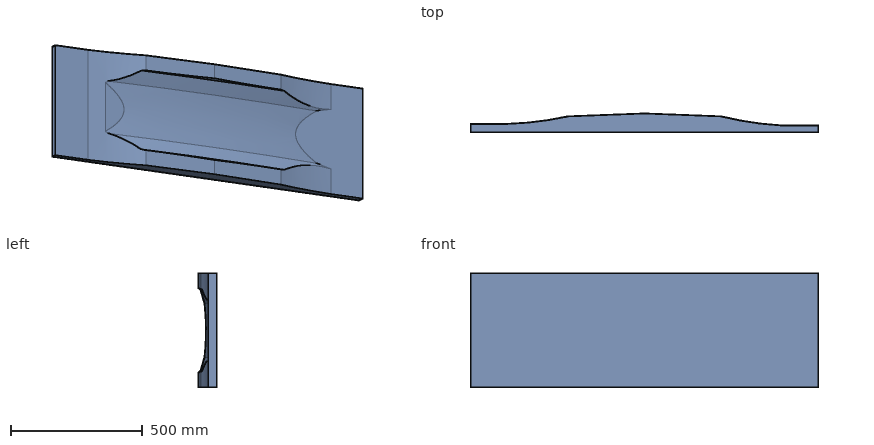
import cadquery as cq
import math

length = 1318.28
depth = 72.05
height = 433.14

left_end_thickness = 32.5
right_end_thickness = 26.5
crown_edge_depth = 61.0
crown_half_width = 290.0
flank_length = 230.0
flank_sag = 5.5

hollow_half_height = 161.0
lip_half_height = 155.0
lip_drop = 8.0
slope_half_height = 103.0
slope_drop = 24.0
centre_drop = 29.5
hollow_plan_radius = 6800.0
cutter_clearance = 10.0
end_overrun_angle = 1.0

half_length = length / 2


def flank_midpoint(start, end):
    """Midpoint of a concave flank, bowed toward the front face."""
    return ((start[0] + end[0]) / 2, (start[1] + end[1]) / 2 - flank_sag)


def make_panel():
    """Full-height panel with the ridged back profile."""
    left_foot = (-crown_half_width - flank_length, left_end_thickness)
    left_crown = (-crown_half_width, crown_edge_depth)
    right_crown = (crown_half_width, crown_edge_depth)
    right_foot = (crown_half_width + flank_length, right_end_thickness)
    return (
        cq.Workplane("XY")
        .workplane(offset=-height / 2)
        .moveTo(-half_length, 0)
        .lineTo(-half_length, left_end_thickness)
        .lineTo(*left_foot)
        .threePointArc(flank_midpoint(left_foot, left_crown), left_crown)
        .lineTo(0, depth)
        .lineTo(*right_crown)
        .threePointArc(flank_midpoint(right_crown, right_foot), right_foot)
        .lineTo(half_length, right_end_thickness)
        .lineTo(half_length, 0)
        .close()
        .extrude(height)
    )


def make_hollow():
    """Cutter for the hollow: its YZ section turned about a distant Z axis."""
    top = depth + cutter_clearance
    axis_y = depth - hollow_plan_radius
    sweep_angle = 2 * math.degrees(math.asin(half_length / hollow_plan_radius)) + end_overrun_angle
    section = (
        cq.Workplane("YZ")
        .moveTo(top, -hollow_half_height)
        .lineTo(depth, -hollow_half_height)
        .lineTo(depth - lip_drop, -lip_half_height)
        .lineTo(depth - slope_drop, -slope_half_height)
        .threePointArc((depth - centre_drop, 0), (depth - slope_drop, slope_half_height))
        .lineTo(depth - lip_drop, lip_half_height)
        .lineTo(depth, hollow_half_height)
        .lineTo(top, hollow_half_height)
        .close()
    )
    swept = section.revolve(sweep_angle, (axis_y, 0, 0), (axis_y, 1, 0))
    centred = swept.rotate((0, axis_y, 0), (0, axis_y, 1), -sweep_angle / 2)
    above_ends = cq.Workplane("XY").box(2 * length, top, height, centered=(True, False, True))
    return centred.intersect(above_ends.translate((0, left_end_thickness, 0)))


result = make_panel().cut(make_hollow())